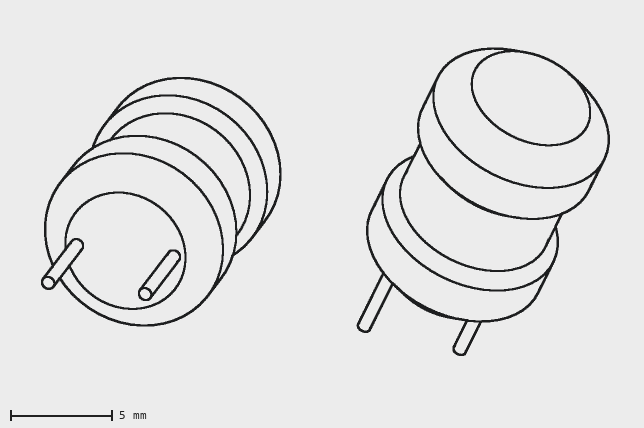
import cadquery as cq

total_length = 18.0
pin_length = 5.0
pin_diameter = 0.65
pin_spacing = 5.0
body_diameter = 9.2
end_chamfer = 1.5
neck_length = 4.0
neck_depth = 0.68

body_length = total_length - pin_length
body_radius = body_diameter / 2
end_radius = body_radius - end_chamfer
neck_radius = body_radius - neck_depth
half_body = body_length / 2
half_neck = neck_length / 2


def make_body():
    """Spool-shaped body revolved about Y and centred on the origin."""
    rear_half = [
        (neck_radius, half_neck),
        (body_radius, half_neck + neck_depth),
        (body_radius, half_body - end_chamfer),
        (end_radius, half_body),
        (0, half_body),
    ]
    front_half = [(radius, -y) for radius, y in reversed(rear_half)]
    profile = cq.Workplane("XY").polyline(front_half + rear_half).close()
    return profile.revolve(360, (0, 0, 0), (0, 1, 0))


def make_pins():
    """Two round leads projecting from the front (-Y) face."""
    front_face = cq.Workplane("XZ", origin=(0, -half_body, 0))
    pin_centres = [(-pin_spacing / 2, 0), (pin_spacing / 2, 0)]
    return front_face.pushPoints(pin_centres).circle(pin_diameter / 2).extrude(pin_length)


result = make_body().union(make_pins())